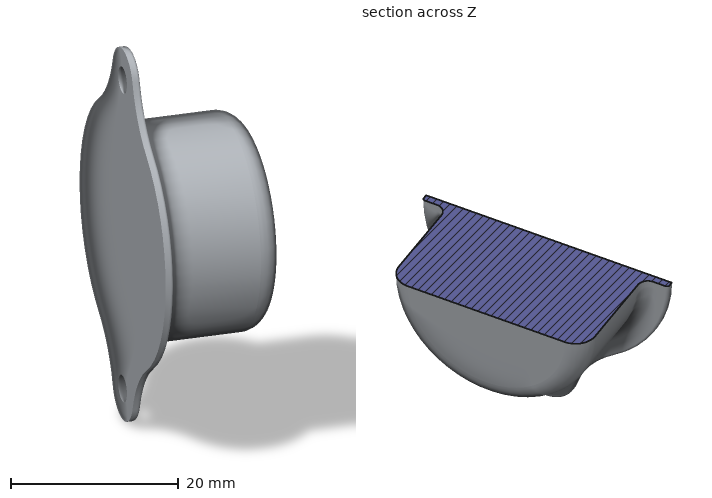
import cadquery as cq
import math

disc_radius = 50 / 3
flange_thickness = 1.0
flange_edge_radius = 1 / 3
ear_radius = 4.0
ear_offset = 20.0
hole_diameter = 10 / 3
blend_radius = 40 / 3

body_radius = 40 / 3
total_depth = 47 / 3
crown_radius = 8 / 3
root_radius = 4 / 3


def blend_points():
    """Disc tangent point, middle and ear tangent point of the blend arc in the +X, +Z quadrant."""
    disc_reach = disc_radius + blend_radius
    ear_reach = ear_radius + blend_radius
    center_z = (disc_reach**2 - ear_reach**2 + ear_offset**2) / (2 * ear_offset)
    center_x = math.sqrt(disc_reach**2 - center_z**2)

    disc_share = disc_radius / disc_reach
    disc_point = (center_x * disc_share, center_z * disc_share)
    ear_share = ear_radius / ear_reach
    ear_point = (center_x * ear_share, ear_offset + (center_z - ear_offset) * ear_share)

    toward_x = (disc_point[0] + ear_point[0]) / 2 - center_x
    toward_z = (disc_point[1] + ear_point[1]) / 2 - center_z
    stretch = blend_radius / math.hypot(toward_x, toward_z)
    middle = (center_x + toward_x * stretch, center_z + toward_z * stretch)
    return disc_point, middle, ear_point


def mirrored(point, x_sign, z_sign):
    return (x_sign * point[0], z_sign * point[1])


def make_flange():
    disc_point, middle, ear_point = blend_points()
    ear_tip = ear_offset + ear_radius

    outline = cq.Workplane("XY").moveTo(*mirrored(disc_point, 1, -1))
    for side in (1, -1):
        outline = (
            outline
            .threePointArc((side * disc_radius, 0), mirrored(disc_point, side, side))
            .threePointArc(mirrored(middle, side, side), mirrored(ear_point, side, side))
            .threePointArc((0, side * ear_tip), mirrored(ear_point, -side, side))
            .threePointArc(mirrored(middle, -side, side), mirrored(disc_point, -side, side))
        )
    plate = outline.close().extrude(flange_thickness)
    return plate.faces(">Z").edges().fillet(flange_edge_radius)


def make_body():
    """Revolved body with its rounded crown and the flared root that meets the flange."""
    root_top = flange_thickness + root_radius
    root_reach = body_radius + root_radius
    crown_start = total_depth - crown_radius
    diagonal = math.sqrt(0.5)
    root_middle = (root_reach - root_radius * diagonal, root_top - root_radius * diagonal)
    crown_middle = (
        body_radius - crown_radius * (1 - diagonal),
        crown_start + crown_radius * diagonal,
    )
    profile = (
        cq.Workplane("XY")
        .lineTo(root_reach, 0)
        .lineTo(root_reach, flange_thickness)
        .threePointArc(root_middle, (body_radius, root_top))
        .lineTo(body_radius, crown_start)
        .threePointArc(crown_middle, (body_radius - crown_radius, total_depth))
        .lineTo(0, total_depth)
        .close()
    )
    return profile.revolve(360, (0, 0), (0, 1))


def make_holes():
    return (
        cq.Workplane("XZ")
        .pushPoints([(0, ear_offset), (0, -ear_offset)])
        .circle(hole_diameter / 2)
        .extrude(-flange_thickness)
    )


flange = make_flange().rotate((0, 0, 0), (1, 0, 0), -90)
result = flange.union(make_body()).cut(make_holes())